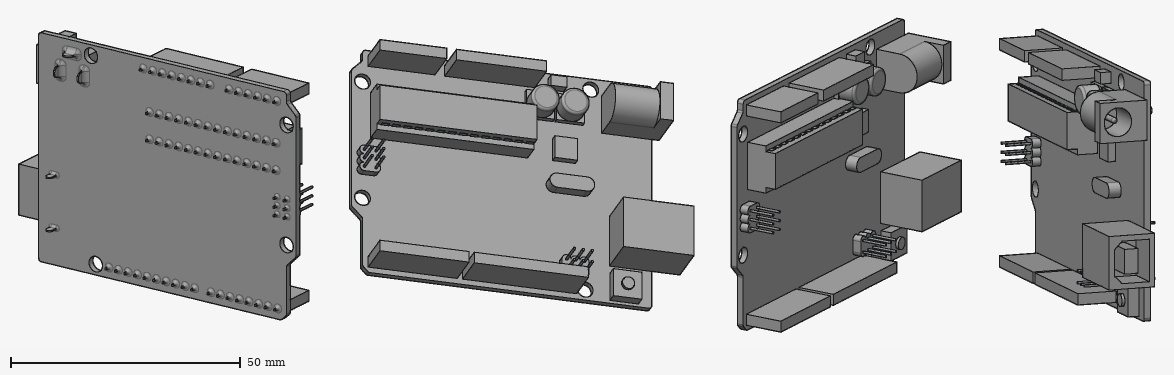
import cadquery as cq
import math


board_length = 68.58
board_height = 53.34
board_thickness = 1.524
shoulder_x = 66.04
tongue_slope = board_length - shoulder_x
tongue_bottom = 15.49
tongue_top = 48.26
corner_chamfer = 1.4
corner_radius = 0.76
hole_diameter = 3.56
hole_centers = [(13.97, 50.8), (15.24, 2.54), (66.04, 45.72), (66.04, 17.78)]

pin_pitch = 2.54
pin_diameter = 0.51
pin_tip_depth = 1.27
solder_radius = 0.76
programming_solder_radius = 0.51

header_width = 2.54
header_height = 8.89
upper_row_z = 50.8
lower_row_z = 2.54
headers = [
    (27.94, 8, upper_row_z, 26.75, 47.3),
    (50.8, 6, upper_row_z, 49.53, 64.77),
    (18.8, 10, lower_row_z, 17.2, 43.26),
    (45.97, 8, lower_row_z, 44.45, 64.77),
]

short_pitch = 2.03
pair_pitch = 2.67
pair_base_width = 2.08
pair_base_height = 2.03
programming_pin_height = 7.87
right_programming_center = (64.92, 26.45)
left_programming_center = (18.05, 7.0)

jack_center_z = 45.1
jack_width = 8.94
jack_left = -1.6
jack_right = 11.5
jack_height = 10.922
flange_thickness = 3.0
barrel_axis_height = 6.04
jack_bore_diameter = 6.35
jack_bore_height = 6.76
jack_bore_depth = 9.0
jack_pin_diameter = 1.27
jack_pin_recess = 1.75
jack_pin_rounding = 0.57

terminal_length = 2.54
terminal_thickness = 0.36
terminal_solder_radius = 1.27
upright_terminals_x = (5.9, 12.2)
upright_terminals_z = 45.72
flat_terminal_center = (8.89, 50.29)

usb_center_z = 14.87
usb_width = 11.9
usb_left = -6.35
usb_right = 9.74
usb_height = 10.67
usb_opening_width = 9.45
usb_opening_bottom = 1.27
usb_opening_top = 9.38
usb_opening_chamfer = 1.8
usb_opening_depth = 8.0
usb_tongue_width = 5.5
usb_tongue_bottom = 3.75
usb_tongue_top = 6.85
usb_tongue_recess = 0.45
usb_tab_x = 4.15
usb_tab_spacing = 12.38
usb_tab_width = 1.6
usb_tab_thickness = 0.3
usb_tab_depth = 2.54
usb_tab_solder_radius = 0.6

chip_pin_count = 14
chip_center_z = 37.84
chip_row_spacing = 6.35
chip_first_pin_x = 29.6
chip_pin_pitch = 2.596
chip_left = 28.4
chip_right = 64.2
chip_socket_width = 10.9
chip_socket_height = 4.66
chip_body_width = 8.25
chip_body_height = 7.11
chip_leg_first_x = 29.39
chip_leg_width = 1.65
chip_leg_top = 5.6
chip_leg_proud = 0.1

capacitor_diameter = 6.35
capacitor_height = 5.33
capacitor_base_height = 1.27
capacitor_rounding = 0.62
capacitors_x = (18.96, 25.8)
capacitors_z = 45.1

crystal_left = 13.95
crystal_length = 10.2
crystal_width = 3.4
crystal_height = 2.87
crystal_z = 26.6

reset_center = (6.35, 3.94)
reset_size = 6.5
reset_height = 2.6
reset_button_diameter = 2.79
reset_button_height = 3.3

diode_center = (21.98, 50.7)
diode_size = (3.6, 2.54)
diode_height = 2.41

usb_chip_center = (20.1, 35.15)
usb_chip_size = 5.2
usb_chip_height = 1.75


def block(left, right, bottom, top, y_start, y_end):
    """Box between X limits, Z limits and Y limits."""
    size = (right - left, y_end - y_start, top - bottom)
    return cq.Workplane("XY").box(*size, centered=False).translate((left, y_start, bottom))


def on_board(center, size_x, size_z, height):
    """Box centred at (X, Z), standing on the component face."""
    x, z = center
    return block(x - size_x / 2, x + size_x / 2, z - size_z / 2, z + size_z / 2,
                 board_thickness, board_thickness + height)


def post(center, diameter, y_start, y_end):
    """Round post along Y, centred at (X, Z)."""
    length = y_end - y_start
    x, z = center
    post_shape = cq.Workplane("XZ").circle(diameter / 2).extrude(-length)
    return post_shape.translate((x, y_start, z))


def round_on_board(center, diameter, height):
    """Round post standing on the component face."""
    return post(center, diameter, board_thickness, board_thickness + height)


def slot_on_board(center, length, width, height, angle):
    """Round-ended block on the component face; angle 0 lies along X, 90 along Z."""
    x, z = center
    slot = cq.Workplane("XZ").slot2D(length, width, angle).extrude(-height)
    return slot.translate((x, board_thickness, z))


def flare_outline(half_width, radius):
    """Right half of a solder flare in the XY plane, concave towards the board edge."""
    bend = radius * (1 - math.sqrt(0.5))
    outline = (
        cq.Workplane("XY")
        .lineTo(half_width + radius, 0)
        .threePointArc((half_width + bend, -bend), (half_width, -radius))
    )
    if half_width > 0:
        outline = outline.lineTo(0, -radius)
    return outline.close()


def round_flare(half_width, radius):
    """Solder flare around a round pin at the origin."""
    return flare_outline(half_width, radius).revolve(360, (0, 0, 0), (0, 1, 0))


def straight_flare(half_width, radius, length):
    """Solder flare along Z with the concave slope on both X sides."""
    half = flare_outline(half_width, radius).extrude(length / 2, both=True)
    return half.union(half.mirror("YZ"))


def turned(shape):
    """Quarter turn about Y."""
    return shape.rotate((0, 0, 0), (0, 1, 0), 90)


def soldered_pin(center, radius):
    """Pin tip with its solder flare below the board."""
    x, z = center
    solder = round_flare(pin_diameter / 2, radius).translate((x, 0, z))
    return solder.union(post(center, pin_diameter, -pin_tip_depth, 0))


def blade(width, thickness, depth):
    """Flat terminal below the board, wide along X, with a full-round end."""
    shoulder = depth - width / 2
    return (
        cq.Workplane("XY")
        .moveTo(-width / 2, 0)
        .lineTo(-width / 2, -shoulder)
        .threePointArc((0, -depth), (width / 2, -shoulder))
        .lineTo(width / 2, 0)
        .close()
        .extrude(thickness / 2, both=True)
    )


def jack_terminal(center, upright):
    """Jack blade with solder flaring from all four flat sides, rounded at the corners."""
    radius = terminal_solder_radius
    terminal = blade(terminal_length, terminal_thickness, terminal_length)
    terminal = terminal.union(straight_flare(terminal_length / 2, radius, terminal_thickness))
    terminal = terminal.union(turned(straight_flare(terminal_thickness / 2, radius, terminal_length)))
    for side_x in (-1, 1):
        for side_z in (-1, 1):
            corner = (side_x * terminal_length / 2, 0, side_z * terminal_thickness / 2)
            terminal = terminal.union(round_flare(0, radius).translate(corner))
    if upright:
        terminal = turned(terminal)
    x, z = center
    return terminal.translate((x, 0, z))


def usb_tab(center):
    """USB shell tab in a solder flare with half-round ends."""
    radius = usb_tab_solder_radius
    half_thickness = usb_tab_thickness / 2
    end_x = usb_tab_width / 2 - half_thickness
    tab = blade(usb_tab_width, usb_tab_thickness, usb_tab_depth)
    tab = tab.union(turned(straight_flare(half_thickness, radius, 2 * end_x)))
    for side in (-1, 1):
        tab = tab.union(round_flare(half_thickness, radius).translate((side * end_x, 0, 0)))
    x, z = center
    return tab.translate((x, 0, z))


def make_board():
    outline = [
        (0, 0),
        (shoulder_x - corner_chamfer, 0),
        (shoulder_x, corner_chamfer),
        (shoulder_x, tongue_bottom - tongue_slope),
        (board_length, tongue_bottom),
        (board_length, tongue_top),
        (shoulder_x, tongue_top + tongue_slope),
        (shoulder_x, board_height),
        (0, board_height),
    ]
    plate = cq.Workplane("XZ").polyline(outline).close().extrude(-board_thickness)
    plate = plate.edges("|Y").fillet(corner_radius)
    for center in hole_centers:
        plate = plate.cut(post(center, hole_diameter, 0, board_thickness))
    return plate


def make_header(first_x, count, row_z, left, right):
    pieces = [block(left, right, row_z - header_width / 2, row_z + header_width / 2,
                    board_thickness, board_thickness + header_height)]
    for index in range(count):
        pieces.append(soldered_pin((first_x + index * pin_pitch, row_z), solder_radius))
    return pieces


def make_programming_header(center, pairs_along_x, soldered):
    """Three round-ended pin pairs; pairs_along_x sets the direction within a pair."""
    pieces = []
    base_length = pair_pitch + pair_base_width
    center_x, center_z = center
    for pair in (-1, 0, 1):
        if pairs_along_x:
            base_center = (center_x, center_z + pair * short_pitch)
            step = (pair_pitch / 2, 0)
            angle = 0
        else:
            base_center = (center_x + pair * short_pitch, center_z)
            step = (0, pair_pitch / 2)
            angle = 90
        pieces.append(slot_on_board(base_center, base_length, pair_base_width, pair_base_height, angle))
        for side in (-1, 1):
            pin = (base_center[0] + side * step[0], base_center[1] + side * step[1])
            pieces.append(round_on_board(pin, pin_diameter, programming_pin_height))
            if soldered:
                pieces.append(soldered_pin(pin, programming_solder_radius))
    return pieces


def make_jack():
    bottom = jack_center_z - jack_width / 2
    top = jack_center_z + jack_width / 2
    barrel_axis_y = board_thickness + barrel_axis_height
    flange = block(jack_left, jack_left + flange_thickness, bottom, top,
                   board_thickness, board_thickness + jack_height)
    body = block(jack_left, jack_right, bottom, top, board_thickness, barrel_axis_y)
    barrel = (
        cq.Workplane("YZ")
        .center(barrel_axis_y, jack_center_z)
        .circle(jack_width / 2)
        .extrude(jack_right - jack_left)
        .translate((jack_left, 0, 0))
    )
    bore_plane = cq.Workplane("YZ").center(board_thickness + jack_bore_height, jack_center_z)
    bore = bore_plane.circle(jack_bore_diameter / 2).extrude(jack_bore_depth)
    pin = bore_plane.circle(jack_pin_diameter / 2).extrude(jack_bore_depth - jack_pin_recess)
    pin = pin.faces("<X").edges().fillet(jack_pin_rounding)
    jack = flange.union(body).union(barrel).cut(bore.translate((jack_left, 0, 0)))
    return jack.union(pin.translate((jack_left + jack_pin_recess, 0, 0)))


def make_jack_terminals():
    terminals = [jack_terminal((x, upright_terminals_z), True) for x in upright_terminals_x]
    terminals.append(jack_terminal(flat_terminal_center, False))
    return terminals


def make_usb_socket():
    shell = block(usb_left, usb_right, usb_center_z - usb_width / 2, usb_center_z + usb_width / 2,
                  board_thickness, board_thickness + usb_height)
    opening = block(usb_left, usb_left + usb_opening_depth,
                    usb_center_z - usb_opening_width / 2, usb_center_z + usb_opening_width / 2,
                    board_thickness + usb_opening_bottom, board_thickness + usb_opening_top)
    opening = opening.faces(">Y").edges("|X").chamfer(usb_opening_chamfer)
    tongue = block(usb_left + usb_tongue_recess, usb_left + usb_opening_depth,
                   usb_center_z - usb_tongue_width / 2, usb_center_z + usb_tongue_width / 2,
                   board_thickness + usb_tongue_bottom, board_thickness + usb_tongue_top)
    return shell.cut(opening).union(tongue)


def make_usb_tabs():
    return [usb_tab((usb_tab_x, usb_center_z + side * usb_tab_spacing / 2)) for side in (-1, 1)]


def make_processor():
    length = chip_right - chip_left
    center = ((chip_left + chip_right) / 2, chip_center_z)
    leg_span = chip_body_width + 2 * chip_leg_proud
    pieces = [
        on_board(center, length, chip_socket_width, chip_socket_height),
        on_board(center, length, chip_body_width, chip_body_height),
    ]
    for index in range(chip_pin_count):
        leg_center = (chip_leg_first_x + index * pin_pitch, chip_center_z)
        pieces.append(on_board(leg_center, chip_leg_width, leg_span, chip_leg_top))
        pin_x = chip_first_pin_x + index * chip_pin_pitch
        for side in (-1, 1):
            pin = (pin_x, chip_center_z + side * chip_row_spacing / 2)
            pieces.append(soldered_pin(pin, solder_radius))
    return pieces


def make_capacitor(x):
    center = (x, capacitors_z)
    can = round_on_board(center, capacitor_diameter, capacitor_height)
    can = can.faces(">Y").edges().fillet(capacitor_rounding)
    return can.union(on_board(center, capacitor_diameter, capacitor_diameter, capacitor_base_height))


def make_small_parts():
    crystal_center = (crystal_left + crystal_length / 2, crystal_z)
    pieces = [make_capacitor(x) for x in capacitors_x]
    pieces.append(slot_on_board(crystal_center, crystal_length, crystal_width, crystal_height, 0))
    pieces.append(on_board(reset_center, reset_size, reset_size, reset_height))
    pieces.append(round_on_board(reset_center, reset_button_diameter, reset_button_height))
    pieces.append(on_board(diode_center, *diode_size, diode_height))
    pieces.append(on_board(usb_chip_center, usb_chip_size, usb_chip_size, usb_chip_height))
    return pieces


parts = [make_jack(), make_usb_socket()]
for header in headers:
    parts += make_header(*header)
parts += make_programming_header(right_programming_center, True, True)
parts += make_programming_header(left_programming_center, False, False)
parts += make_jack_terminals()
parts += make_usb_tabs()
parts += make_processor()
parts += make_small_parts()

board = make_board().val()
result = cq.Workplane(board.fuse(*[part.val() for part in parts]).clean())